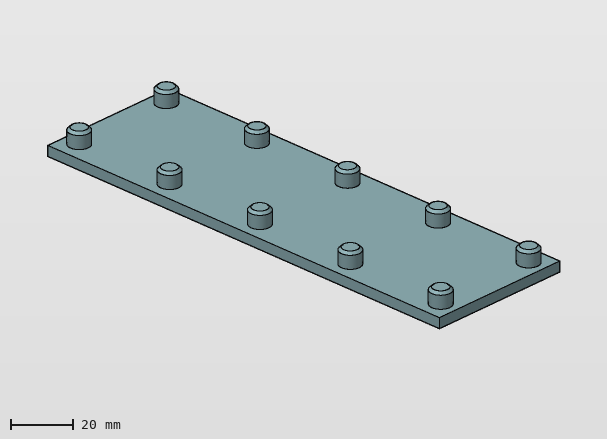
import cadquery as cq

plate_length = 173.0
plate_width = 55.0
plate_thickness = 4.0

overall_height = 10.0
pin_height = overall_height - plate_thickness
pin_diameter = 8.0
pin_chamfer = 1.0
pin_pair_count = 5
end_pair_distance = 160.0
pair_pitch = end_pair_distance / (pin_pair_count - 1)

middle_pair_spacing = pair_pitch
spacing_step = 0.09


def make_plate():
    return cq.Workplane("XY").box(
        plate_length, plate_width, plate_thickness, centered=(True, True, False)
    )


def pin_centres():
    """Centres of all pins: a straight row at +Y, and a facing row that drifts outwards."""
    straight_row_y = middle_pair_spacing / 2
    centres = []
    for pair in range(pin_pair_count):
        steps_from_middle = pair - (pin_pair_count - 1) / 2
        x = steps_from_middle * pair_pitch
        pair_spacing = middle_pair_spacing + steps_from_middle * spacing_step
        centres.append((x, straight_row_y))
        centres.append((x, straight_row_y - pair_spacing))
    return centres


def make_pins():
    """Round pins rising from the top face, chamfered at their tips."""
    return (
        cq.Workplane("XY", origin=(0, 0, plate_thickness))
        .pushPoints(pin_centres())
        .circle(pin_diameter / 2)
        .extrude(pin_height)
        .faces(">Z")
        .chamfer(pin_chamfer)
    )


result = make_plate().union(make_pins())